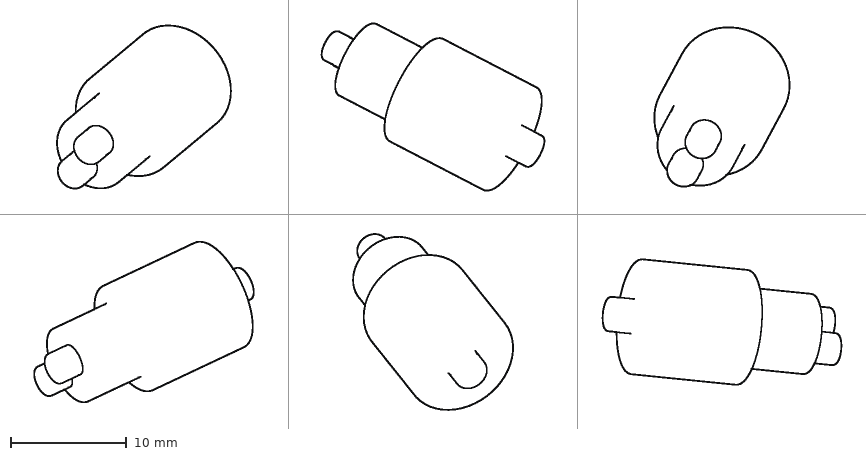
import cadquery as cq
import math


overall_length = 20.75
drum_length = 10.0
neck_length = 6.0
pin_length = 2.26
stub_length = overall_length - drum_length - neck_length - pin_length

drum_diameter = 10.0
neck_diameter = 7.0
stub_diameter = 3.0
pin_diameter = 2.8

housing_fillet = 0.25
pin_fillet = 0.35

pin_count = 2
pin_circle_radius = 1.6
first_pin_angle = 60.0

neck_face_y = -neck_length
stub_face_y = drum_length + stub_length


def make_housing():
    """Drum with a front neck and a rear stub, all corners rounded inside and out."""
    drum_radius = drum_diameter / 2
    neck_radius = neck_diameter / 2
    stub_radius = stub_diameter / 2
    half_profile = [
        (0, neck_face_y),
        (neck_radius, neck_face_y),
        (neck_radius, 0),
        (drum_radius, 0),
        (drum_radius, drum_length),
        (stub_radius, drum_length),
        (stub_radius, stub_face_y),
        (0, stub_face_y),
    ]
    turned = cq.Workplane("XY").polyline(half_profile).close().revolve(360, (0, 0), (0, 1))
    return turned.edges("%CIRCLE").fillet(housing_fillet).solids()


def make_pin(angle):
    """Round-tipped pin standing on the neck face at the given angle in degrees."""
    x = pin_circle_radius * math.cos(math.radians(angle))
    z = pin_circle_radius * math.sin(math.radians(angle))
    neck_face = cq.Workplane("XZ", origin=(x, neck_face_y, z))
    pin = neck_face.circle(pin_diameter / 2).extrude(pin_length)
    return pin.faces("<Y").edges().fillet(pin_fillet).solids()


housing = make_housing()

pins = []
for index in range(pin_count):
    pin_angle = first_pin_angle + index * 360 / pin_count
    pins.append(make_pin(pin_angle))

result = cq.Compound.makeCompound([housing.val(), *[pin.val() for pin in pins]])